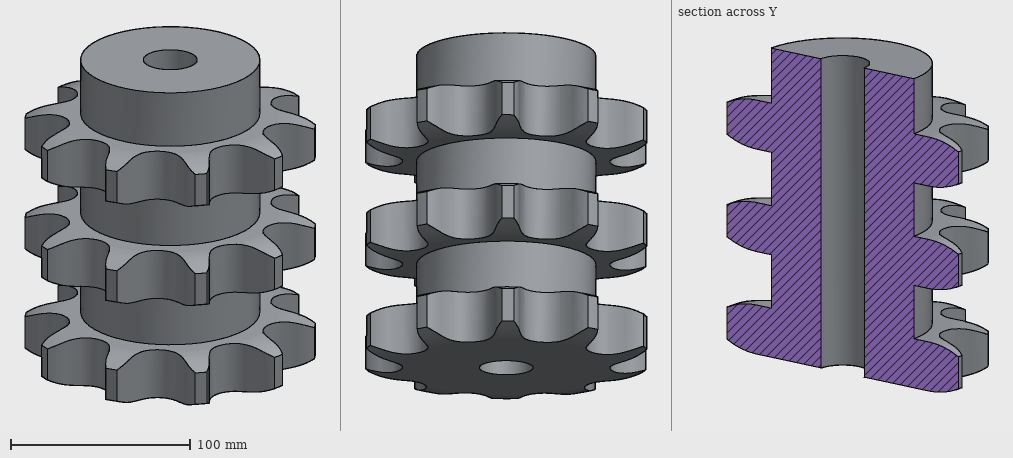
import cadquery as cq
import math

tooth_count = 10
chain_pitch = 44.5
roller_diameter = 27.9
outer_radius = 81.2
wheel_thickness = 28.8
strand_spacing = 59.5
strand_count = 3
hub_diameter = 100.0
hub_length = 180.0
bore_diameter = 30.0
tooth_side_radius = chain_pitch
tip_side_drop = 5.0

half_pitch_angle = math.pi / tooth_count
pitch_radius = chain_pitch / (2 * math.sin(half_pitch_angle))
seating_radius = 0.504 * roller_diameter
working_offset = 0.8 * roller_diameter
working_radius = seating_radius + working_offset
seating_angle = math.radians(35 + 60 / tooth_count)
working_angle = math.radians(18 - 56 / tooth_count)
topping_offset = 1.4 * roller_diameter
topping_angle = math.radians(17 - 64 / tooth_count)
straight_length = topping_offset * math.sin(topping_angle) - working_offset * math.sin(working_angle)
topping_radius = (
    topping_offset * math.cos(topping_angle)
    + working_offset * math.cos(working_angle)
    - working_radius
)


def along(start, distance, angle):
    """Point at a distance from start, in the direction of an angle."""
    return (start[0] + distance * math.cos(angle), start[1] + distance * math.sin(angle))


def flank_points():
    """One side of a tooth gap, root to tip, as (across, outward) points from the wheel axis."""
    roller_center = (0, pitch_radius)
    root = along(roller_center, seating_radius, -math.pi / 2)
    seating_middle = along(roller_center, seating_radius, -(math.pi / 2 + seating_angle) / 2)
    seating_end = along(roller_center, seating_radius, -seating_angle)

    working_center = along(roller_center, -working_offset, -seating_angle)
    working_middle = along(working_center, working_radius, -seating_angle + working_angle / 2)
    flank_angle = -seating_angle + working_angle
    working_end = along(working_center, working_radius, flank_angle)
    straight_end = along(working_end, straight_length, flank_angle + math.pi / 2)

    topping_center = along(straight_end, topping_radius, flank_angle)
    center_radius = math.hypot(*topping_center)
    center_angle = math.atan2(topping_center[1], topping_center[0])
    crossing_angle = math.acos(
        (center_radius**2 + outer_radius**2 - topping_radius**2) / (2 * center_radius * outer_radius)
    )
    tip = along((0, 0), outer_radius, center_angle + crossing_angle)
    start_angle = flank_angle + math.pi
    tip_angle = math.atan2(tip[1] - topping_center[1], tip[0] - topping_center[0])
    topping_middle = along(topping_center, topping_radius, (start_angle + tip_angle) / 2)

    return [
        root, seating_middle, seating_end, working_middle, working_end,
        straight_end, topping_middle, tip,
    ]


def place(points, gap_angle, side):
    """Move flank points to the gap at gap_angle; side is +1 clockwise of it and -1 counterclockwise."""
    cosine = math.cos(gap_angle)
    sine = math.sin(gap_angle)
    return [
        (outward * cosine + side * across * sine, outward * sine - side * across * cosine)
        for across, outward in points
    ]


def toothed_blank():
    """Flat wheel with its full tooth outline; one tooth is centred on +X."""
    flank = flank_points()
    first_root = place(flank, -half_pitch_angle, 1)[0]
    outline = cq.Workplane("XY").moveTo(*first_root)
    for tooth in range(tooth_count):
        tooth_angle = 2 * half_pitch_angle * tooth
        _, seat_mid, seat_end, work_mid, work_end, straight_end, topping_mid, tip = place(
            flank, tooth_angle - half_pitch_angle, -1
        )
        outline = (
            outline.threePointArc(seat_mid, seat_end)
            .threePointArc(work_mid, work_end)
            .lineTo(*straight_end)
            .threePointArc(topping_mid, tip)
        )
        crest = along((0, 0), outer_radius, tooth_angle)
        root, seat_mid, seat_end, work_mid, work_end, straight_end, topping_mid, tip = place(
            flank, tooth_angle + half_pitch_angle, 1
        )
        outline = (
            outline.threePointArc(crest, tip)
            .threePointArc(topping_mid, straight_end)
            .lineTo(*work_end)
            .threePointArc(work_mid, seat_end)
            .threePointArc(seat_mid, root)
        )
    return outline.close().extrude(wheel_thickness)


def side_envelope():
    """Revolved disc whose two faces curve away towards the rim."""
    sweep = math.acos(1 - tip_side_drop / tooth_side_radius)
    half_sweep = sweep / 2
    relief_start = outer_radius - tooth_side_radius * math.sin(sweep)
    middle_radius = relief_start + tooth_side_radius * math.sin(half_sweep)
    middle_drop = tooth_side_radius * (1 - math.cos(half_sweep))
    return (
        cq.Workplane("XZ")
        .lineTo(relief_start, 0)
        .threePointArc((middle_radius, middle_drop), (outer_radius, tip_side_drop))
        .lineTo(outer_radius, wheel_thickness - tip_side_drop)
        .threePointArc((middle_radius, wheel_thickness - middle_drop), (relief_start, wheel_thickness))
        .lineTo(0, wheel_thickness)
        .close()
        .revolve()
    )


wheel = toothed_blank().intersect(side_envelope())

sprocket = cq.Workplane("XY").circle(hub_diameter / 2).extrude(hub_length)
for strand in range(strand_count):
    sprocket = sprocket.union(wheel.translate((0, 0, strand * strand_spacing)))

bore = cq.Workplane("XY").circle(bore_diameter / 2).extrude(hub_length)
result = sprocket.cut(bore)